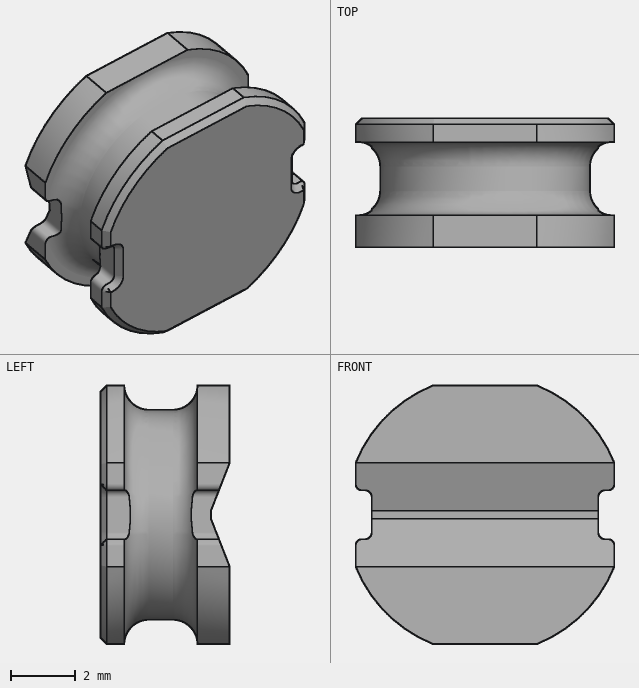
import cadquery as cq
import math

width = 8.0
depth = 4.0
flat_length = 3.2
flange_radius = math.hypot(width / 2, flat_length / 2)

front_flange = 1.0
channel_fillet = 0.75
core_land = 0.75
core_radius = width / 2 - channel_fillet
back_chamfer = 0.2

groove_depth = 0.58
groove_floor = 0.26

notch_height = 1.5
notch_depth = 0.5
notch_fillet = 0.2

front_y = -depth / 2
back_y = depth / 2


def flatted_disc():
    """Round disc along Y cut by four flats."""
    disc = cq.Workplane("XZ", origin=(0, back_y, 0)).circle(flange_radius).extrude(depth)
    return disc.intersect(cq.Workplane("XY").box(width, depth, width))


def channel():
    """Ring swept around Y, with quarter-round flanks."""
    rim = width / 2
    outside = width
    start = front_y + front_flange
    land_start = start + channel_fillet
    land_end = land_start + core_land
    end = land_end + channel_fillet
    bend = channel_fillet * (1 - math.sqrt(0.5))
    profile = (
        cq.Workplane("XY")
        .moveTo(outside, start)
        .lineTo(rim, start)
        .threePointArc((core_radius + bend, start + bend), (core_radius, land_start))
        .lineTo(core_radius, land_end)
        .threePointArc((core_radius + bend, end - bend), (rim, end))
        .lineTo(outside, end)
        .close()
    )
    return profile.revolve(360, (0, 0, 0), (0, 1, 0))


def front_groove():
    """Flat-bottomed V groove running the full width along X."""
    floor_y = front_y + groove_depth
    return (
        cq.Workplane("YZ", origin=(-width / 2, 0, 0))
        .moveTo(front_y, -flat_length / 2)
        .lineTo(floor_y, -groove_floor / 2)
        .lineTo(floor_y, groove_floor / 2)
        .lineTo(front_y, flat_length / 2)
        .close()
        .extrude(width)
    )


def wire_notch(side):
    """Notch through both flanges on one side (+1 or -1), with rounded corners."""
    rim = width / 2
    floor = rim - notch_depth
    half = notch_height / 2
    r = notch_fillet
    bend = r * (1 - math.sqrt(0.5))
    notch = (
        cq.Workplane("XZ", origin=(0, back_y, 0))
        .moveTo(side * rim, -half - r)
        .threePointArc((side * (rim - bend), -half - bend), (side * (rim - r), -half))
        .lineTo(side * (floor + r), -half)
        .threePointArc((side * (floor + bend), -half + bend), (side * floor, -half + r))
        .lineTo(side * floor, half - r)
        .threePointArc((side * (floor + bend), half - bend), (side * (floor + r), half))
        .lineTo(side * (rim - r), half)
        .threePointArc((side * (rim - bend), half + bend), (side * rim, half + r))
        .close()
    )
    return notch.extrude(depth)


body = flatted_disc()
for side in (-1, 1):
    body = body.cut(wire_notch(side))
body = body.faces(">Y").edges().chamfer(back_chamfer)
result = body.cut(channel()).cut(front_groove())